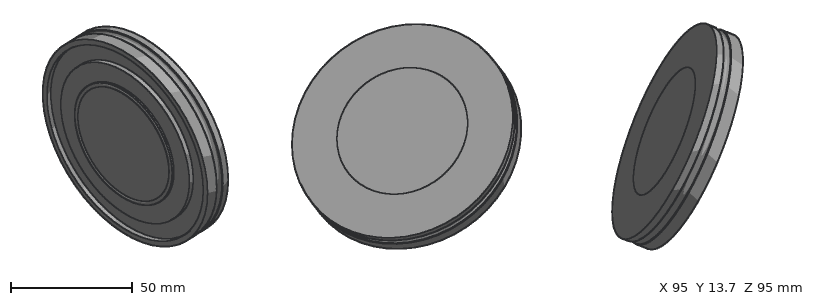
import cadquery as cq

wheel_diameter = 95.0
rim_width = 12.2
recess_diameter = 90.0
recess_depth = 2.3
hub_diameter = 74.0

total_width = 13.7
plug_diameter = 56.2
plug_height = 0.95
bead_section_diameter = 1.9
bead_ring_diameter = 54.2
bead_section_radius = bead_section_diameter / 2
bead_ring_radius = bead_ring_diameter / 2
bead_center_y = rim_width - total_width + bead_section_radius

groove_center = 7.2
groove_mouth_width = 3.6
groove_chamfer = 0.3
groove_depth = 1.5

wheel_radius = wheel_diameter / 2


def cylinder(diameter, y_start, y_end):
    """Solid cylinder on the Y axis between two Y positions."""
    disc = cq.Workplane("XZ", origin=(0, y_start, 0)).circle(diameter / 2)
    return disc.extrude(y_start - y_end)


def make_bead():
    section = cq.Workplane("XY").center(bead_ring_radius, bead_center_y).circle(bead_section_radius)
    return section.revolve(360, (-bead_ring_radius, 0, 0), (-bead_ring_radius, 1, 0))


def make_plug():
    return cylinder(plug_diameter, -plug_height, rim_width).union(make_bead())


def make_rim_groove():
    half_mouth = groove_mouth_width / 2
    half_arc = half_mouth - groove_chamfer
    arc_end_radius = wheel_radius - groove_chamfer
    profile = (
        cq.Workplane("XY")
        .moveTo(wheel_radius, groove_center - half_mouth)
        .lineTo(arc_end_radius, groove_center - half_arc)
        .threePointArc(
            (wheel_radius - groove_depth, groove_center),
            (arc_end_radius, groove_center + half_arc),
        )
        .lineTo(wheel_radius, groove_center + half_mouth)
        .close()
    )
    return profile.revolve(360, (0, 0, 0), (0, 1, 0))


def make_front_recess():
    outside = cylinder(recess_diameter, 0, recess_depth)
    return outside.cut(cylinder(hub_diameter, 0, recess_depth))


def make_wheel():
    disc = cylinder(wheel_diameter, 0, rim_width)
    wheel = disc.cut(cylinder(plug_diameter, 0, rim_width))
    wheel = wheel.cut(make_front_recess())
    return wheel.cut(make_rim_groove())


wheel = make_wheel()
plug = make_plug()

result = cq.Compound.makeCompound([wheel.val(), plug.val()])